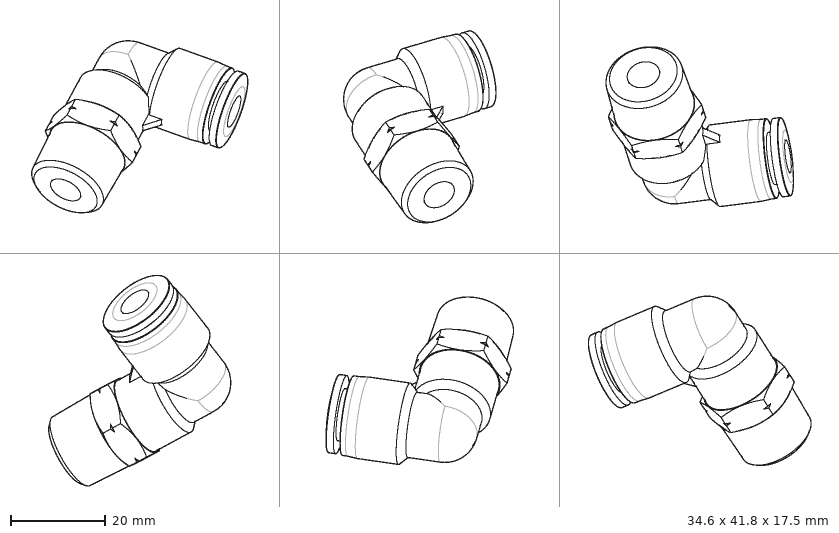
import cadquery as cq
import math

BODY_OVERLAP = 0.5

ELBOW_RADIUS = 7.0
BORE_RADIUS = 3.5

SOCKET_RADIUS = 8.75
SOCKET_START = 7.0
SOCKET_TAPER_START = 17.6
SOCKET_CAP_START = 19.75
SOCKET_END = 21.0
SOCKET_CAP_RADIUS = 8.55
RIM_CHAMFER = 0.12
RELEASE_NECK_RADIUS = 5.6
RELEASE_FLANGE_RADIUS = 8.4
RELEASE_FLANGE_START = 22.4
RELEASE_FLANGE_EDGE = 23.93
RELEASE_END = 24.526
RELEASE_FACE_RADIUS = 5.6

SLEEVE_RADIUS = 8.53
SLEEVE_CONE_START = 5.0
HEX_START = 15.5
HEX_END = 21.5
THREAD_END = 33.0
THREAD_CHAMFER_LENGTH = 1.0
THREAD_START_RADIUS = 8.65
THREAD_TAPER = 1 / 32
THREAD_FACE_RADIUS = 7.32

HEX_ACROSS_FLATS = 17.5
HEX_CHAMFER_ANGLE = math.radians(30)
HEX_GROOVE_RADIUS = 9.6
HEX_GROOVE_HALF_WIDTH = 0.25

WEB_THICKNESS = 2.0
WEB_LEG = 3.0

hex_inradius = HEX_ACROSS_FLATS / 2
hex_circumradius = hex_inradius / math.cos(math.pi / 6)


def revolve_along_x(profile):
    """Turn a closed (distance, radius) profile about the X axis."""
    return cq.Workplane("XY").polyline(profile).close().revolve(360, (0, 0, 0), (1, 0, 0))


def revolve_along_minus_y(profile):
    """Turn a closed (distance, radius) profile about the -Y axis."""
    points = [(radius, -distance) for distance, radius in profile]
    return cq.Workplane("XY").polyline(points).close().revolve(360, (0, 0, 0), (0, 1, 0))


def make_elbow():
    """Outer sphere at the corner, where both arms start."""
    return cq.Workplane("XY").sphere(ELBOW_RADIUS)


def make_push_in_arm():
    """Plain neck, tapered socket body and release ring."""
    socket_cone_end = SOCKET_START + SOCKET_RADIUS - ELBOW_RADIUS
    return revolve_along_x([
        (0, 0),
        (0, ELBOW_RADIUS),
        (SOCKET_START, ELBOW_RADIUS),
        (socket_cone_end, SOCKET_RADIUS),
        (SOCKET_TAPER_START, SOCKET_RADIUS),
        (SOCKET_CAP_START, SOCKET_CAP_RADIUS),
        (SOCKET_END - RIM_CHAMFER, SOCKET_CAP_RADIUS),
        (SOCKET_END, SOCKET_CAP_RADIUS - RIM_CHAMFER),
        (SOCKET_END, RELEASE_NECK_RADIUS),
        (RELEASE_FLANGE_START, RELEASE_NECK_RADIUS),
        (RELEASE_FLANGE_START, RELEASE_FLANGE_RADIUS),
        (RELEASE_FLANGE_EDGE, RELEASE_FLANGE_RADIUS),
        (RELEASE_FLANGE_EDGE + RIM_CHAMFER, RELEASE_FLANGE_RADIUS - RIM_CHAMFER),
        (RELEASE_END, RELEASE_FACE_RADIUS),
        (RELEASE_END, 0),
    ])


def make_threaded_arm():
    """Plain neck, sleeve and tapered thread envelope with a chamfered tip."""
    sleeve_cone_end = SLEEVE_CONE_START + SLEEVE_RADIUS - ELBOW_RADIUS
    thread_chamfer_start = THREAD_END - THREAD_CHAMFER_LENGTH
    thread_tip_radius = THREAD_START_RADIUS - THREAD_TAPER * (thread_chamfer_start - HEX_END)
    return revolve_along_minus_y([
        (0, 0),
        (0, ELBOW_RADIUS),
        (SLEEVE_CONE_START, ELBOW_RADIUS),
        (sleeve_cone_end, SLEEVE_RADIUS),
        (HEX_END, SLEEVE_RADIUS),
        (HEX_END, THREAD_START_RADIUS),
        (thread_chamfer_start, thread_tip_radius),
        (THREAD_END, THREAD_FACE_RADIUS),
        (THREAD_END, 0),
    ])


def make_hexagon():
    """Wrench hexagon with corners on +X and -X, chamfered ends and a V groove round its middle."""
    hex_length = HEX_END - HEX_START
    prism = (
        cq.Workplane("XZ", origin=(0, -HEX_START, 0))
        .polygon(6, 2 * hex_circumradius)
        .extrude(hex_length)
    )
    chamfer_length = (hex_circumradius - hex_inradius) * math.tan(HEX_CHAMFER_ANGLE)
    hex_middle = (HEX_START + HEX_END) / 2
    turned_envelope = revolve_along_minus_y([
        (HEX_START, 0),
        (HEX_START, hex_inradius),
        (HEX_START + chamfer_length, hex_circumradius),
        (hex_middle - HEX_GROOVE_HALF_WIDTH, hex_circumradius),
        (hex_middle, HEX_GROOVE_RADIUS),
        (hex_middle + HEX_GROOVE_HALF_WIDTH, hex_circumradius),
        (HEX_END - chamfer_length, hex_circumradius),
        (HEX_END, hex_inradius),
        (HEX_END, 0),
    ])
    return prism.intersect(turned_envelope)


def make_corner_web():
    """Thin triangular rib with a 45 degree edge in the inner corner of the arms."""
    inner_x = SLEEVE_RADIUS - BODY_OVERLAP
    inner_y = -SOCKET_RADIUS + BODY_OVERLAP
    leg = WEB_LEG + 2 * BODY_OVERLAP
    return (
        cq.Workplane("XY")
        .polyline([(inner_x, inner_y), (inner_x + leg, inner_y), (inner_x, inner_y - leg)])
        .close()
        .extrude(WEB_THICKNESS / 2, both=True)
    )


def make_bore():
    """Through passage: a round-cornered elbow from the thread tip to the release ring."""
    corner = cq.Workplane("XY").sphere(BORE_RADIUS)
    along_x = cq.Workplane("YZ").circle(BORE_RADIUS).extrude(RELEASE_END)
    along_minus_y = cq.Workplane("XZ").circle(BORE_RADIUS).extrude(THREAD_END)
    return corner.union(along_x).union(along_minus_y)


result = (
    make_elbow()
    .union(make_push_in_arm())
    .union(make_threaded_arm())
    .union(make_hexagon())
    .union(make_corner_web())
    .cut(make_bore())
)